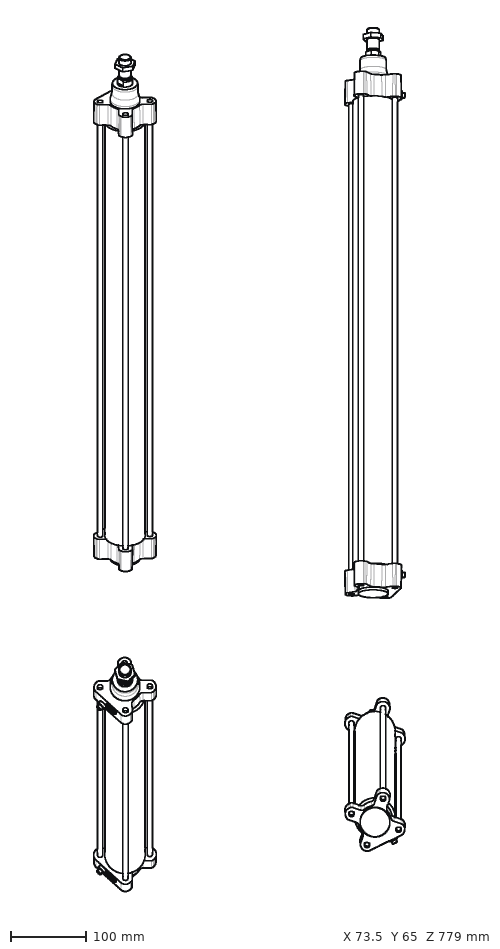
import cadquery as cq
import math

TOTAL_LENGTH = 779.0
COLLAR_HEIGHT = 4.0
COVER_HEIGHT = 31.0
HEAD_TOP = 710.5
HEAD_BOTTOM = HEAD_TOP - COVER_HEIGHT
REAR_BOTTOM = COLLAR_HEIGHT
REAR_TOP = REAR_BOTTOM + COVER_HEIGHT

COVER_WIDTH = 65.0
COVER_DRAFT = 1.0
TIE_ROD_SPACING = 47.0
LOBE_OFFSET = TIE_ROD_SPACING / 2
ARM_WIDTH = 19.0
SIDE_START = 12.0
LOBE_CORNER_RADIUS = 9.0
LOBE_FLANK_RADIUS = 5.0
CORE_DIAMETER = 45.0
CORE_FILLET = 5.0
COLLAR_DIAMETER = 40.0
SOCKET_DIAMETER = 7.1
SOCKET_DEPTH = 12.0

NECK_DIAMETER = 35.0
NECK_TOP = 738.5
NECK_FLARE_TOP = 723.0
NECK_CHAMFER_HEIGHT = 3.0
NECK_CHAMFER_WIDTH = 1.0

BARREL_DIAMETER = 54.0
TIE_ROD_DIAMETER = 7.1

PORT_DIAMETER = 12.0
PORT_DEPTH = 12.0
PORT_MOUTH_DIAMETER = 15.0
SINK_TAPER = 45
PORT_RECESS_DIAMETER = 19.0
PORT_RECESS_DEPTH = 1.2
PORT_Y = -5.0
PORT_OFFSET = 1.0
SCREW_Y = 9.0
SCREW_OFFSET = 7.0
SCREW_DIAMETER = 7.1
SCREW_REACH = 8.5
SCREW_TIP_CHAMFER = 0.55
BOSS_DIAMETER = 12.0
BOSS_REACH = 4.0

ROD_DIAMETER = 20.0
ROD_SHOULDER = 748.0
ROD_CHAMFER = 1.5
RELIEF_DIAMETER = 15.0
THREAD_START = 750.0
THREAD_DIAMETER = 16.0
THREAD_CHAMFER = 1.2
FLATS_WIDTH = 17.0
FLATS_BOTTOM = 740.0

NUT_WIDTH = 24.0
NUT_BOTTOM = 764.0
NUT_HEIGHT = 6.0

PLATE_THICKNESS = 8.0
DISTANCE_TOLERANCE = 0.1

CORNERS = [(sx * LOBE_OFFSET, sy * LOBE_OFFSET) for sx in (-1, 1) for sy in (-1, 1)]


def cylinder(diameter, bottom, top, x=0, y=0):
    return cq.Workplane("XY").workplane(offset=bottom).center(x, y).circle(diameter / 2).extrude(top - bottom)


def revolved(profile):
    """Solid of revolution about Z from (radius, height) points."""
    return cq.Workplane("XZ").polyline(profile).close().revolve(360, (0, 0, 0), (0, 1, 0))


def side_cylinder(diameter, y, z, start_x, end_x):
    plane = cq.Plane(origin=(start_x, y, z), xDir=(0, 1, 0), normal=(1, 0, 0))
    return cq.Workplane(plane).circle(diameter / 2).extrude(end_x - start_x)


def fillet_uprights(plate, axis_distance, radius):
    """Round the vertical edges that stand at the given distance from the Z axis."""

    def at_distance(edge):
        center = edge.Center()
        return abs(math.hypot(center.x, center.y) - axis_distance) < DISTANCE_TOLERANCE

    uprights = plate.edges("|Z").filter(at_distance)
    return plate.newObject(uprights.vals()).fillet(radius)


def cover_outline():
    """Closed wire at Z = 0: round core, four diagonal arms and a flat -X side."""
    half_width = COVER_WIDTH / 2
    flank_x = half_width - ARM_WIDTH / math.sqrt(2)
    plate = cylinder(CORE_DIAMETER, 0, PLATE_THICKNESS)
    square = cq.Workplane("XY").rect(COVER_WIDTH, COVER_WIDTH).extrude(PLATE_THICKNESS)
    for angle in (45, 135):
        turned = cq.Workplane("XY").transformed(rotate=(0, 0, angle))
        strip = turned.rect(2 * COVER_WIDTH, ARM_WIDTH).extrude(PLATE_THICKNESS)
        plate = plate.union(strip.intersect(square))
    side_depth = half_width - SIDE_START
    side_center = -(half_width + SIDE_START) / 2
    side = cq.Workplane("XY").center(side_center, 0).rect(side_depth, 2 * flank_x).extrude(PLATE_THICKNESS)
    plate = fillet_uprights(plate.union(side), CORE_DIAMETER / 2, CORE_FILLET)
    plate = fillet_uprights(plate, math.hypot(flank_x, half_width), LOBE_FLANK_RADIUS)
    plate = fillet_uprights(plate, math.hypot(half_width, half_width), LOBE_CORNER_RADIUS)
    return plate.faces("<Z").val().outerWire()


def cover_body():
    """Drafted cover with its barrel end at Z = 0 and its outer end at COVER_HEIGHT."""
    return cq.Workplane("XY").add(cover_outline()).toPending().extrude(COVER_HEIGHT, taper=COVER_DRAFT)


def port_cut(z):
    """Recessed, countersunk blind port hole running in from the -X face."""
    face_x = -COVER_WIDTH / 2
    seat_x = face_x + PORT_RECESS_DEPTH
    recess = side_cylinder(PORT_RECESS_DIAMETER, PORT_Y, z, face_x, seat_x)
    hole = side_cylinder(PORT_DIAMETER, PORT_Y, z, seat_x, face_x + PORT_DEPTH)
    sink_depth = (PORT_MOUTH_DIAMETER - PORT_DIAMETER) / 2
    mouth_plane = cq.Plane(origin=(seat_x, PORT_Y, z), xDir=(0, 1, 0), normal=(1, 0, 0))
    mouth = cq.Workplane(mouth_plane).circle(PORT_MOUTH_DIAMETER / 2).extrude(sink_depth, taper=SINK_TAPER)
    return recess.union(hole).union(mouth)


def make_cover():
    cover = cover_body()
    face_x = -COVER_WIDTH / 2
    middle = COVER_HEIGHT / 2
    screw_z = middle - SCREW_OFFSET
    cover = cover.union(side_cylinder(BOSS_DIAMETER, SCREW_Y, screw_z, face_x - BOSS_REACH, 0))
    cover = cover.cut(port_cut(middle + PORT_OFFSET))
    screw = side_cylinder(SCREW_DIAMETER, SCREW_Y, screw_z, face_x - SCREW_REACH, face_x)
    cover = cover.union(screw.faces("<X").chamfer(SCREW_TIP_CHAMFER))
    for x, y in CORNERS:
        cover = cover.cut(cylinder(SOCKET_DIAMETER, COVER_HEIGHT - SOCKET_DEPTH, COVER_HEIGHT, x, y))
    return cover.union(cylinder(COLLAR_DIAMETER, 0, COVER_HEIGHT + COLLAR_HEIGHT))


def make_neck():
    radius = NECK_DIAMETER / 2
    collar_top = HEAD_TOP + COLLAR_HEIGHT
    return revolved([
        (0, HEAD_TOP),
        (COLLAR_DIAMETER / 2, HEAD_TOP),
        (COLLAR_DIAMETER / 2, collar_top),
        (radius, NECK_FLARE_TOP),
        (radius, NECK_TOP - NECK_CHAMFER_HEIGHT),
        (radius - NECK_CHAMFER_WIDTH, NECK_TOP),
        (0, NECK_TOP),
    ])


def make_housing():
    head = make_cover().translate((0, 0, HEAD_BOTTOM))
    rear = make_cover().mirror("XY").translate((0, 0, REAR_TOP))
    housing = head.union(rear).union(cylinder(BARREL_DIAMETER, REAR_TOP, HEAD_BOTTOM)).union(make_neck())
    for x, y in CORNERS:
        housing = housing.union(cylinder(TIE_ROD_DIAMETER, REAR_TOP, HEAD_BOTTOM, x, y))
    return housing.cut(cylinder(ROD_DIAMETER, REAR_TOP, NECK_TOP))


def make_rod():
    rod = cylinder(ROD_DIAMETER, REAR_TOP, ROD_SHOULDER).faces(">Z").chamfer(ROD_CHAMFER)
    flat_depth = (ROD_DIAMETER - FLATS_WIDTH) / 2
    for side in (-1, 1):
        flat = (
            cq.Workplane("XY")
            .workplane(offset=FLATS_BOTTOM)
            .center(0, side * (FLATS_WIDTH + flat_depth) / 2)
            .rect(ROD_DIAMETER, flat_depth)
            .extrude(ROD_SHOULDER - FLATS_BOTTOM)
        )
        rod = rod.cut(flat)
    thread = cylinder(THREAD_DIAMETER, THREAD_START, TOTAL_LENGTH).faces(">Z").chamfer(THREAD_CHAMFER)
    relief = cylinder(RELIEF_DIAMETER, ROD_SHOULDER, THREAD_START)
    return rod.union(relief).union(thread)


def make_nut():
    across_corners = NUT_WIDTH / math.cos(math.pi / 6)
    nut = cq.Workplane("XY").workplane(offset=NUT_BOTTOM).polygon(6, across_corners).extrude(NUT_HEIGHT)
    return nut.cut(cylinder(THREAD_DIAMETER, NUT_BOTTOM, NUT_BOTTOM + NUT_HEIGHT))


housing = make_housing()
rod = make_rod()
nut = make_nut()
result = cq.Compound.makeCompound([body.solids().val() for body in (housing, rod, nut)])